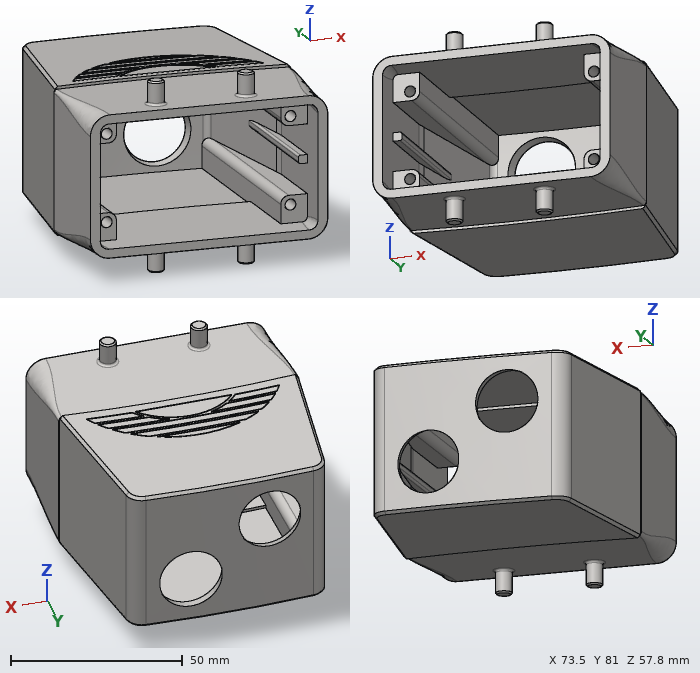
import cadquery as cq
import math


length = 81.0
crown_radius = 405.0
wall = 3.1
end_wall = 3.2

skirt_width = 73.5
skirt_height = 43.3
skirt_mouth_radius = 6.1
skirt_end_radius = 1.0

shoulder_step = 0.9
shoulder_y = 31.4
cap_front_width = 72.9
cap_taper_angle = 7.7
cap_corner_radius = 5.0
cap_height = skirt_height + 2 * shoulder_step

mouth_width = skirt_width - 2 * wall
mouth_height = 37.8
mouth_radius = 2.7
mouth_radius_end = 0.1
mouth_blend_depth = 19.4
cavity_relief = shoulder_step
relief_y = 34.4
cavity_corner_radius = cap_corner_radius - wall

post_front_y = 9.1
post_inner_x = 25.4
post_inner_z = 10.5
post_edge_radius = 2.5
screw_x = 28.4
screw_z = 13.4
screw_diameter = 3.3
screw_depth = 9.7
rib_height = 2.75
rib_thickness = 2.6
rib_edge_radius = 0.65

pin_x = 13.9
pin_y = 7.05
pin_diameter = 4.95
pin_span = 57.75
pin_chamfer = 0.5
pin_root_radius = 0.7

entry_outer_diameter = 18.8
entry_outer_x = 12.0
entry_outer_z = 8.1
entry_inner_diameter = 20.8
entry_inner_shift = -0.25
entry_inner_z = 7.7
entry_cut_length = end_wall + 0.8

grip_depth = 0.25
grip_radius = 33.45
grip_top_y = 52.9
stripe_count = 5
stripe_pitch = 3.6
stripe_gap = 0.9
first_stripe_y = 50.6
dome_radius = 19.35
dome_top_y = 42.7
dome_base_y = 35.9

loft_steps = 6
margin = 1.6


def crown_drop(x):
    """Distance a crowned line falls behind its middle at a distance x from the centre."""
    return crown_radius - math.sqrt(crown_radius ** 2 - x ** 2)


def rounded_loft(width, height, start_radius, end_radius, depth):
    """Rounded rectangle extended along +Y while its corner radius eases between two values."""
    sections = []
    for step in range(loft_steps + 1):
        t = step / loft_steps
        ease = t * t * (3 - 2 * t)
        radius = start_radius + (end_radius - start_radius) * ease
        outline = cq.Sketch().rect(width, height).vertices().fillet(radius)
        sections.append(outline.moved(cq.Location(cq.Vector(0, 0, -depth * t))))
    return cq.Workplane("XZ").placeSketch(*sections).loft()


def tapered_body(front_width, front_y, back_y, height, corner_radius, crowned_front):
    """Tapered plan with a crowned back edge, extruded evenly above and below Z = 0."""
    slope = math.tan(math.radians(cap_taper_angle))
    front_x = front_width / 2
    back_x = front_x - slope * (back_y - front_y)
    side_back_y = back_y - crown_drop(back_x)
    plan = (
        cq.Workplane("XY")
        .workplane(offset=-height / 2)
        .moveTo(front_x, front_y)
        .lineTo(back_x, side_back_y)
        .threePointArc((0, back_y), (-back_x, side_back_y))
        .lineTo(-front_x, front_y)
    )
    if crowned_front:
        plan = plan.threePointArc((0, front_y + crown_drop(front_x)), (front_x, front_y))
    body = plan.close().extrude(height)
    return body.edges("|Z").edges(">Y").fillet(corner_radius)


def box(x_range, y_range, z_range):
    """Axis-aligned box between the given limits."""
    size = [high - low for low, high in (x_range, y_range, z_range)]
    return cq.Workplane("XY").box(*size, centered=False).translate((x_range[0], y_range[0], z_range[0]))


def make_shell():
    """Solid outside shape: skirt and chamfered cap, joined by a core as tall as the skirt."""
    skirt = rounded_loft(skirt_width, skirt_height, skirt_mouth_radius, skirt_end_radius, shoulder_y)
    core_back_y = length - end_wall
    core = tapered_body(cap_front_width, shoulder_y, core_back_y, skirt_height, cap_corner_radius, False)
    cap = tapered_body(cap_front_width, shoulder_y, length, cap_height, cap_corner_radius, True)
    chamfer_start_y = shoulder_y + crown_drop(cap_front_width / 2) + margin
    rim = cap.faces("|Z").edges().filter(lambda edge: edge.Center().y > chamfer_start_y)
    return skirt.union(core).union(rim.chamfer(shoulder_step))


def make_posts():
    """Four corner posts with a rounded inner edge and a screw hole in the front."""
    post = box((post_inner_x, skirt_width / 2), (post_front_y, length), (post_inner_z, cap_height / 2))
    post = post.edges("|Y and <X and <Z").fillet(post_edge_radius)
    hole = (
        cq.Workplane("XZ", origin=(screw_x, post_front_y, screw_z))
        .circle(screw_diameter / 2)
        .extrude(-screw_depth)
    )
    right_top = post.cut(hole)
    right_pair = right_top.union(right_top.mirror("XY"))
    return right_pair.union(right_pair.mirror("YZ"))


def make_ribs():
    """Guide rib on the middle of each side wall."""
    half = rib_thickness / 2
    tip_x = mouth_width / 2 - rib_height
    rib = box((tip_x, skirt_width / 2), (post_front_y, length - end_wall), (-half, half))
    rib = rib.edges("|Y and <X").fillet(rib_edge_radius)
    return rib.union(rib.mirror("YZ"))


def make_cavity():
    """Space inside the hood, leaving the posts and ribs standing."""
    back_y = length - end_wall
    relief_height = mouth_height + 2 * cavity_relief
    mouth = rounded_loft(mouth_width, mouth_height, mouth_radius, mouth_radius_end, mouth_blend_depth)
    middle = box(
        (-mouth_width / 2, mouth_width / 2),
        (mouth_blend_depth, shoulder_y),
        (-mouth_height / 2, mouth_height / 2),
    )
    rear = tapered_body(mouth_width, shoulder_y, back_y, mouth_height, cavity_corner_radius, False)
    relief_width = mouth_width - 2 * (relief_y - shoulder_y) * math.tan(math.radians(cap_taper_angle))
    relief = tapered_body(relief_width, relief_y, back_y, relief_height, cavity_corner_radius, True)
    space = mouth.union(middle).union(rear).union(relief)
    return space.cut(make_posts()).cut(make_ribs())


def make_entry(side):
    """Cable entry cutter; side is -1 for the left upper hole and 1 for the right lower one."""
    outer_center = (side * entry_outer_x, -side * entry_outer_z)
    inner_center = (side * entry_outer_x + entry_inner_shift, -side * entry_inner_z)
    inner = cq.Sketch().push([inner_center]).circle(entry_inner_diameter / 2)
    outer = cq.Sketch().push([outer_center]).circle(entry_outer_diameter / 2)
    plane = cq.Workplane("XZ", origin=(0, length - entry_cut_length, 0))
    return plane.placeSketch(inner, outer.moved(cq.Location(cq.Vector(0, 0, -entry_cut_length)))).loft()


def make_pins():
    """Four locking pins, two above and two below, each flared at the root and chamfered at the tip."""
    root_z = mouth_height / 2 + margin / 2
    skirt_z = skirt_height / 2
    tip_z = pin_span / 2
    radius = pin_diameter / 2
    flare_radius = radius + pin_root_radius
    arc_inset = pin_root_radius * (1 - math.sqrt(0.5))
    pin = (
        cq.Workplane("XZ")
        .moveTo(0, root_z)
        .lineTo(flare_radius, root_z)
        .lineTo(flare_radius, skirt_z)
        .threePointArc((radius + arc_inset, skirt_z + arc_inset), (radius, skirt_z + pin_root_radius))
        .lineTo(radius, tip_z - pin_chamfer)
        .lineTo(radius - pin_chamfer, tip_z)
        .lineTo(0, tip_z)
        .close()
        .revolve(360, (0, 0, 0), (0, 1, 0))
    )
    upper = pin.translate((-pin_x, pin_y, 0)).union(pin.translate((pin_x, pin_y, 0)))
    return upper.union(upper.mirror("XY"))


def disc(radius, top_y):
    """Grip cutter disc whose rim peaks at top_y on the centre line."""
    floor = cq.Workplane("XY", origin=(0, top_y - radius, cap_height / 2 - grip_depth))
    return floor.circle(radius).extrude(margin)


def make_grip():
    """Recess cutter: crowned stripes inside a large disc, around a flat-based dome."""
    dome_gap = disc(dome_radius + stripe_gap, dome_top_y + stripe_gap)
    area = disc(grip_radius, grip_top_y).cut(dome_gap)
    side = cap_front_width / 2
    z_range = (0, cap_height)
    grip = disc(dome_radius, dome_top_y).intersect(box((-side, side), (dome_base_y, length), z_range))
    for index in range(stripe_count):
        lower_y = first_stripe_y - index * stripe_pitch
        upper_y = lower_y + stripe_pitch - stripe_gap
        stripe = disc(crown_radius, upper_y).cut(disc(crown_radius, lower_y))
        grip = grip.union(stripe.intersect(area))
    return grip


result = make_shell().cut(make_cavity())
for entry_side in (-1, 1):
    result = result.cut(make_entry(entry_side))
result = result.union(make_pins()).cut(make_grip())